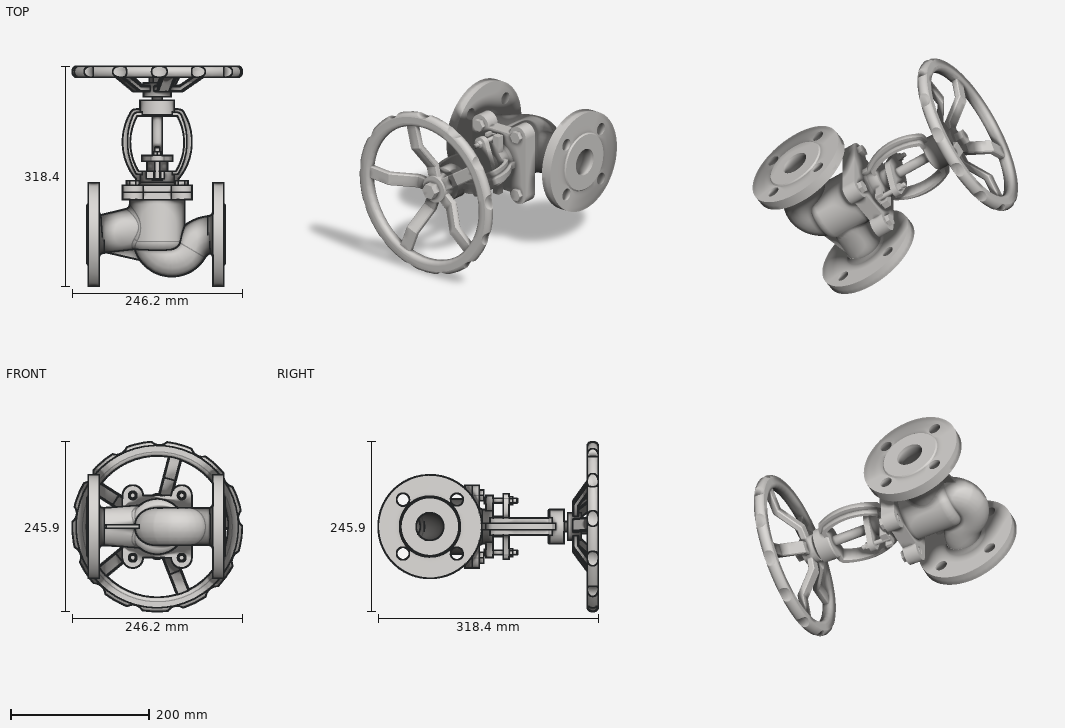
import cadquery as cq
import math


face_to_face = 200.0
inlet_face_x = -101.7
outlet_face_x = inlet_face_x + face_to_face
flange_dia = 150.0
flange_thickness = 16.0
raised_height = 2.0
inlet_back_x = inlet_face_x + raised_height + flange_thickness
outlet_back_x = outlet_face_x - raised_height - flange_thickness
raised_base_dia = 88.0
raised_tip_dia = 84.0
flange_hole_dia = 18.0
flange_hole_circle = 110.0
flange_hole_count = 4
bore_dia = 40.0

chamber_dia = 80.0
chamber_floor_y = -22.5
chamber_corner = 13.0
cavity_dia = 60.0
cavity_floor_y = -8.0
neck_length = 7.0
neck_radius = 27.0
neck_flare = 5.0
inlet_tilt = 10.0
bore_tilt = 15.0
inlet_length = 62.0
inlet_end_radius = 31.0
inlet_fillet = 6.0
elbow_radius = 27.0
elbow_bend = 29.0
elbow_top_y = 0.0
pipe_overlap = 1.0
elbow_center = (21.0, -5.0)
gusset_thickness = 5.0
gusset_outline = [(-74, -10), (-74, -26), (-26, -37), (-26, -10)]

joint_y = 61.0
joint_plate = 10.5
joint_bolt_x = 35.3
joint_bolt_z = 45.0
lobe_dia = 30.0
bolt_hole_dia = 12.0
bolt_dia = 10.0
bolt_tip_chamfer = 1.0
bolt_head_flats = 16.0
bolt_head_height = 6.5
bonnet_top_y = joint_y + joint_plate
body_top_y = joint_y - joint_plate

neck_dia = 50.0
neck_top_y = 91.4
flare_width = 2.0
flare_height = 4.0
head_dia = 50.0
head_bottom_y = 171.0
head_top_y = 194.0
head_chamfer = 2.0
arm_band_width = 25.0
arm_rib_width = 9.0
arm_mid_y = 131.0
rib_shoulder_y = 180.5
band_shoulder_y = 176.3
shoulder_radius = 8.0
rib_foot = [(31, bonnet_top_y), (31, 81), (33.5, 83.5)]
rib_mid_x = 50.3
rib_shoulder = [(36, rib_shoulder_y), (24, 182)]
band_foot = [(22, 86.5), (30.5, 87.5)]
band_mid_x = 43.0
band_shoulder = [(33, band_shoulder_y), (22, 177)]
window_foot = [(27, neck_top_y)]
window_mid_x = 38.7
window_top = [(29, head_bottom_y)]
ear_bottom_y = 80.8
ear_reach = 45.0
ear_min_x = -15.5
ear_max_x = 10.0
ear_slot_width = 10.5
ear_slot_start = 32.0

gland_barrel_dia = 30.0
gland_bottom_y = 81.0
gland_plate_bottom_y = 105.8
gland_plate_top_y = 114.3
gland_center_radius = 22.5
gland_end_radius = 10.0
gland_bolt_z = 37.5
gland_bolt_dia = 7.0
gland_bolt_top_y = 126.6
gland_bolt_chamfer = 1.04
gland_nut_flats = 10.0
gland_nut_height = 5.5
gland_head_size = (14.5, 9.5)
gland_head_height = 2.5

stem_dia = 15.0
plug_dia = 50.0
plug_top_y = 30.0
stem_nut_flats = 20.0
stem_nut_height = 12.0
wheel_radius = 123.11
wheel_top_y = 243.42
rim_height = 16.4
rim_inner_radius = 102.0
rim_inner_fillet = 6.3
rim_bulge = 5.8
scallop_count = 13
scallop_angle = -5.5
scallop_radius = 16.0
scallop_depth = 5.2
hub_dia = 40.0
hub_bottom_y = 199.0
hub_top_y = 219.0
spoke_count = 5
spoke_angle = -3.4
spoke_width = 19.0
spoke_thickness = 9.0
spoke_hub_y = 206.3
spoke_rim_y = 230.5
spoke_low_bend = 36.0
spoke_high_bend = 71.0
spoke_bend_shift = 3.0
spoke_overlap = 5.0
spoke_chamfer = 1.5


def y_cylinder(dia, y_low, y_high, x=0, z=0):
    """Cylinder along Y between two heights."""
    solid = cq.Solid.makeCylinder(dia / 2, y_high - y_low, cq.Vector(x, y_low, z), cq.Vector(0, 1, 0))
    return cq.Workplane(solid)


def x_cylinder(dia, x_low, x_high, y=0, z=0):
    """Cylinder along X between two stations."""
    solid = cq.Solid.makeCylinder(dia / 2, x_high - x_low, cq.Vector(x_low, y, z), cq.Vector(1, 0, 0))
    return cq.Workplane(solid)


def y_plane(y):
    """Sketch plane at height y whose local axes are X and -Z and whose normal is +Y."""
    return cq.Workplane(cq.Plane(origin=(0, y, 0), xDir=(1, 0, 0), normal=(0, 1, 0)))


def y_hexagon(flats, y_low, height, x=0, z=0, turn=0):
    """Hexagonal prism along Y with corners on +-X, or on +-Z when turned by 90 degrees."""
    corners = flats / math.cos(math.radians(30))
    prism = y_plane(y_low).polygon(6, corners).extrude(height)
    return prism.rotate((0, 0, 0), (0, 1, 0), turn).translate((x, 0, z))


def joint_bolt_places():
    return [(sx * joint_bolt_x, sz * joint_bolt_z) for sx in (-1, 1) for sz in (-1, 1)]


def joint_flange(y_low):
    """Rectangular plate with a round lobe around each bolt."""
    width = 2 * joint_bolt_x + lobe_dia
    plate = y_plane(y_low).rect(width, 2 * joint_bolt_z).extrude(joint_plate)
    for x, z in joint_bolt_places():
        plate = plate.union(y_cylinder(lobe_dia, y_low, y_low + joint_plate, x, z))
    return plate


def cut_joint_holes(body):
    for x, z in joint_bolt_places():
        body = body.cut(y_cylinder(bolt_hole_dia, body_top_y, bonnet_top_y, x, z))
    return body


def pipe_flange(face_x, inward):
    """Flange with raised face and flared neck; inward is +1 or -1 along X."""
    step_x = face_x + inward * raised_height
    back_x = step_x + inward * flange_thickness
    neck_x = back_x + inward * neck_length
    bulge = 1 - math.sqrt(0.5)
    profile = (
        cq.Workplane("XY")
        .moveTo(face_x, 0)
        .lineTo(face_x, raised_tip_dia / 2)
        .lineTo(step_x, raised_base_dia / 2)
        .lineTo(step_x, flange_dia / 2)
        .lineTo(back_x, flange_dia / 2)
        .lineTo(back_x, neck_radius + neck_flare)
        .threePointArc(
            (back_x + inward * neck_length * bulge, neck_radius + neck_flare * bulge),
            (neck_x, neck_radius),
        )
        .lineTo(neck_x, 0)
        .close()
    )
    flange = profile.revolve(360, (0, 0, 0), (1, 0, 0))
    for i in range(flange_hole_count):
        angle = math.radians(45 + i * 360 / flange_hole_count)
        y = flange_hole_circle / 2 * math.cos(angle)
        z = flange_hole_circle / 2 * math.sin(angle)
        flange = flange.cut(x_cylinder(flange_hole_dia, min(face_x, back_x), max(face_x, back_x), y, z))
    return flange


def inlet_cone():
    """Cone rising from the inlet flange to the side of the chamber."""
    tilt = math.radians(inlet_tilt)
    direction = cq.Vector(math.cos(tilt), math.sin(tilt), 0)
    start = cq.Vector(inlet_back_x, 0, 0)
    return cq.Workplane(cq.Solid.makeCone(neck_radius, inlet_end_radius, inlet_length, start, direction))


def inlet_bore():
    """Straight bore through the flange, mitred to a bore rising into the cavity."""
    path = (
        cq.Workplane("XY")
        .moveTo(inlet_face_x, 0)
        .lineTo(inlet_back_x, 0)
        .polarLine(inlet_length, bore_tilt)
    )
    start = cq.Workplane("YZ", origin=(inlet_face_x, 0, 0)).circle(bore_dia / 2)
    return start.sweep(path, transition="right")


def elbow(radius, end_x):
    """Round bar that drops from the chamber, turns up again and levels out at the outlet flange."""
    cx, cy = elbow_center
    level_x = outlet_back_x
    level_bend = ((level_x - cx) ** 2 + cy**2 - elbow_bend**2) / (2 * (elbow_bend - cy))
    turn_x = cx + (level_x - cx) * elbow_bend / (elbow_bend + level_bend)
    turn_y = cy + (-level_bend - cy) * elbow_bend / (elbow_bend + level_bend)
    path = (
        cq.Workplane("XY")
        .moveTo(cx - elbow_bend, elbow_top_y)
        .lineTo(cx - elbow_bend, cy)
        .threePointArc((cx, cy - elbow_bend), (turn_x, turn_y))
        .tangentArcPoint((level_x, 0), relative=False)
        .lineTo(end_x, 0)
    )
    start = y_plane(elbow_top_y).center(cx - elbow_bend, 0).circle(radius)
    return start.sweep(path)


def make_housing():
    chamber = y_cylinder(chamber_dia, chamber_floor_y, body_top_y).faces("<Y").edges().fillet(chamber_corner)
    gusset = cq.Workplane("XY").polyline(gusset_outline).close().extrude(gusset_thickness / 2, both=True)
    inlet_joint = cq.selectors.BoxSelector(
        (-chamber_dia / 2, -chamber_dia, -chamber_dia), (-chamber_dia / 8, body_top_y - 1, chamber_dia)
    )
    body = chamber.union(inlet_cone()).edges(inlet_joint).fillet(inlet_fillet)
    body = body.union(joint_flange(body_top_y)).union(gusset)
    body = body.union(elbow(elbow_radius, outlet_back_x + pipe_overlap))
    body = body.union(pipe_flange(inlet_face_x, 1)).union(pipe_flange(outlet_face_x, -1))

    body = body.cut(y_cylinder(cavity_dia, cavity_floor_y, joint_y))
    body = body.cut(inlet_bore()).cut(elbow(bore_dia / 2, outlet_face_x))
    return cut_joint_holes(body)


def mirrored_outline(low_points, mid_x, high_points):
    """Closed outline symmetric about the stem: each side is lines, one bowed arc and lines again."""
    sketch = cq.Workplane("XY").moveTo(*low_points[0])
    for point in low_points[1:]:
        sketch = sketch.lineTo(*point)
    sketch = sketch.threePointArc((mid_x, arm_mid_y), high_points[0])
    for point in high_points[1:]:
        sketch = sketch.lineTo(*point)
    for x, y in reversed(high_points):
        sketch = sketch.lineTo(-x, y)
    sketch = sketch.threePointArc((-mid_x, arm_mid_y), (-low_points[-1][0], low_points[-1][1]))
    for x, y in reversed(low_points[:-1]):
        sketch = sketch.lineTo(-x, y)
    return sketch.close()


def round_shoulders(arms, y, radius):
    """Round the Z-parallel edges of the arms at height y."""
    return arms.edges("|Z").filter(lambda edge: abs(edge.Center().y - y) < 0.1).fillet(radius)


def make_yoke():
    """Two bowed arms, each a wide inner band with a narrow rib outside."""
    rib = mirrored_outline(rib_foot, rib_mid_x, rib_shoulder)
    band = mirrored_outline(band_foot, band_mid_x, band_shoulder)
    window = mirrored_outline(window_foot, window_mid_x, window_top)
    ribs = round_shoulders(rib.extrude(arm_rib_width / 2, both=True), rib_shoulder_y, shoulder_radius)
    bands = round_shoulders(band.extrude(arm_band_width / 2, both=True), band_shoulder_y, shoulder_radius)
    return ribs.union(bands).cut(window.extrude(arm_band_width, both=True))


def neck_flare_cone():
    """Short cone that widens the neck where it stands on the bonnet flange."""
    base = cq.Vector(0, bonnet_top_y, 0)
    base_radius = neck_dia / 2 + flare_width
    return cq.Workplane(cq.Solid.makeCone(base_radius, neck_dia / 2, flare_height, base, cq.Vector(0, 1, 0)))


def make_bonnet():
    neck = y_cylinder(neck_dia, bonnet_top_y, neck_top_y)
    head = y_cylinder(head_dia, head_bottom_y, head_top_y).faces("<Y").edges().chamfer(head_chamfer)
    body = joint_flange(joint_y).union(neck).union(neck_flare_cone()).union(head).union(make_yoke())
    ear_height = neck_top_y - ear_bottom_y
    ears = cq.Workplane("XY").box(ear_max_x - ear_min_x, ear_height, 2 * ear_reach)
    ears = ears.translate(((ear_max_x + ear_min_x) / 2, ear_bottom_y + ear_height / 2, 0))
    for side in (-1, 1):
        slot = cq.Workplane("XY").box(ear_slot_width, ear_height, 2 * (ear_reach - ear_slot_start))
        ears = ears.cut(slot.translate((0, ear_bottom_y + ear_height / 2, side * ear_reach)))
    body = body.union(ears)
    body = body.cut(y_cylinder(gland_barrel_dia, gland_bottom_y, neck_top_y))
    body = body.cut(y_cylinder(stem_dia, joint_y, head_top_y))
    return cut_joint_holes(body)


def make_joint_bolt(x, z):
    shank = y_cylinder(bolt_dia, body_top_y, bonnet_top_y, x, z).faces("<Y").edges().chamfer(bolt_tip_chamfer)
    return shank.union(y_hexagon(bolt_head_flats, bonnet_top_y, bolt_head_height, x, z))


def gland_plate():
    """Hull of a central disc and two smaller end discs on the gland bolts."""
    lean = math.asin((gland_center_radius - gland_end_radius) / gland_bolt_z)
    center_x = gland_center_radius * math.cos(lean)
    center_z = gland_center_radius * math.sin(lean)
    end_x = gland_end_radius * math.cos(lean)
    end_z = gland_bolt_z + gland_end_radius * math.sin(lean)
    end_tip = gland_bolt_z + gland_end_radius
    outline = (
        y_plane(gland_plate_bottom_y)
        .moveTo(center_x, -center_z)
        .threePointArc((gland_center_radius, 0), (center_x, center_z))
        .lineTo(end_x, end_z)
        .threePointArc((0, end_tip), (-end_x, end_z))
        .lineTo(-center_x, center_z)
        .threePointArc((-gland_center_radius, 0), (-center_x, -center_z))
        .lineTo(-end_x, -end_z)
        .threePointArc((0, -end_tip), (end_x, -end_z))
        .close()
    )
    return outline.extrude(gland_plate_top_y - gland_plate_bottom_y)


def gland_bolt(z):
    head_y = ear_bottom_y - gland_head_height
    shank = y_cylinder(gland_bolt_dia, head_y, gland_bolt_top_y, 0, z)
    shank = shank.faces(">Y").edges().chamfer(gland_bolt_chamfer)
    head = y_plane(head_y).rect(*gland_head_size).extrude(gland_head_height).translate((0, 0, z))
    nut = y_hexagon(gland_nut_flats, gland_plate_top_y, gland_nut_height, 0, z, 90)
    return shank.union(head).union(nut)


def make_gland():
    gland = gland_plate().union(y_cylinder(gland_barrel_dia, gland_bottom_y, gland_plate_bottom_y))
    for side in (-1, 1):
        gland = gland.union(gland_bolt(side * gland_bolt_z))
    return gland.cut(y_cylinder(stem_dia, gland_bottom_y, gland_plate_top_y))


def make_stem():
    nut_top_y = hub_top_y + stem_nut_height
    plug = y_cylinder(plug_dia, cavity_floor_y, plug_top_y)
    nut = y_hexagon(stem_nut_flats, hub_top_y, stem_nut_height)
    return y_cylinder(stem_dia, cavity_floor_y, nut_top_y).union(plug).union(nut)


def make_rim():
    """Rim with a bulged outside, small fillets inside and scalloped finger grips."""
    low_y = wheel_top_y - rim_height
    mid_y = wheel_top_y - rim_height / 2
    round_start = wheel_radius - rim_bulge
    inner_start = rim_inner_radius + rim_inner_fillet
    corner = rim_inner_fillet * (1 - math.sqrt(0.5))
    profile = (
        cq.Workplane("XY")
        .moveTo(inner_start, low_y)
        .lineTo(round_start, low_y)
        .threePointArc((wheel_radius, mid_y), (round_start, wheel_top_y))
        .lineTo(inner_start, wheel_top_y)
        .threePointArc(
            (rim_inner_radius + corner, wheel_top_y - corner),
            (rim_inner_radius, wheel_top_y - rim_inner_fillet),
        )
        .lineTo(rim_inner_radius, low_y + rim_inner_fillet)
        .threePointArc((rim_inner_radius + corner, low_y + corner), (inner_start, low_y))
        .close()
    )
    rim = profile.revolve(360, (0, 0, 0), (0, 1, 0))
    cutter_x = wheel_radius - scallop_depth + scallop_radius
    for i in range(scallop_count):
        cutter = y_cylinder(2 * scallop_radius, low_y, wheel_top_y, cutter_x)
        angle = scallop_angle + i * 360 / scallop_count
        rim = rim.cut(cutter.rotate((0, 0, 0), (0, 1, 0), angle))
    return rim


def make_spoke():
    """Cranked bar from the hub up to the middle of the rim, pointing along +X."""
    inner_x = hub_dia / 2 - spoke_overlap
    outer_x = rim_inner_radius + spoke_overlap
    outline = [
        (inner_x, spoke_hub_y),
        (spoke_low_bend, spoke_hub_y),
        (spoke_high_bend, spoke_rim_y),
        (outer_x, spoke_rim_y),
        (outer_x, spoke_rim_y + spoke_thickness),
        (spoke_high_bend - spoke_bend_shift, spoke_rim_y + spoke_thickness),
        (spoke_low_bend - spoke_bend_shift, spoke_hub_y + spoke_thickness),
        (inner_x, spoke_hub_y + spoke_thickness),
    ]
    bar = cq.Workplane("XY").polyline(outline).close().extrude(spoke_width / 2, both=True)
    return bar.faces("<Z or >Z").edges().chamfer(spoke_chamfer)


def make_handwheel():
    wheel = make_rim().union(y_cylinder(hub_dia, hub_bottom_y, hub_top_y))
    spoke = make_spoke()
    for i in range(spoke_count):
        wheel = wheel.union(spoke.rotate((0, 0, 0), (0, 1, 0), spoke_angle + i * 360 / spoke_count))
    return wheel.cut(y_cylinder(stem_dia, hub_bottom_y, hub_top_y))


housing = make_housing()
bonnet = make_bonnet()
gland = make_gland()
stem = make_stem()
handwheel = make_handwheel()
joint_bolts = [make_joint_bolt(x, z) for x, z in joint_bolt_places()]

result = cq.Compound.makeCompound(
    [housing.val(), bonnet.val(), gland.val(), stem.val(), handwheel.val()]
    + [bolt.val() for bolt in joint_bolts]
)